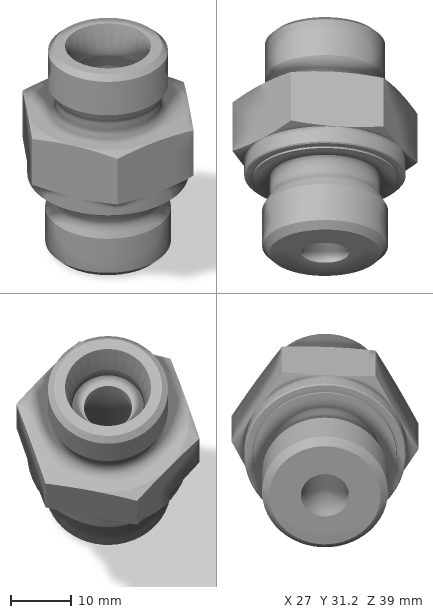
import cadquery as cq
import math

STUD_LENGTH = 14.0
COLLAR_HEIGHT = 3.0
HEX_HEIGHT = 10.0
SPIGOT_LENGTH = 12.0

COLLAR_BOTTOM = STUD_LENGTH
HEX_BOTTOM = COLLAR_BOTTOM + COLLAR_HEIGHT
HEX_TOP = HEX_BOTTOM + HEX_HEIGHT
TOTAL_HEIGHT = HEX_TOP + SPIGOT_LENGTH

HEX_ACROSS_FLATS = 27.0
HEX_SIDES = 6
HEX_CORNER_ROTATION = 90
HEX_CHAMFER_ANGLE = math.radians(15)
CHAMFER_CONE_MARGIN = 1.0
COLLAR_DIAMETER = 26.9
COLLAR_CHAMFER = 0.2

UNDERCUT_ANGLE = math.radians(30)

STUD_DIAMETER = 20.95
STUD_CHAMFER = 1.2
STUD_NECK_DIAMETER = 18.4
STUD_THREAD_TOP = 7.8
STUD_UNDERCUT_RADIUS = 1.25

SPIGOT_DIAMETER = 20.0
SPIGOT_CHAMFER_WIDTH = 1.0
SPIGOT_CHAMFER_HEIGHT = 0.9
SPIGOT_NECK_DIAMETER = 17.7
SPIGOT_THREAD_BOTTOM = TOTAL_HEIGHT - 7.4
SPIGOT_UNDERCUT_RADIUS = 0.8
SPIGOT_NECK_FILLET = 1.0

BORE_DIAMETER = 8.0
SOCKET_DIAMETER = 12.0
SOCKET_DEPTH = 7.5
CONE_MOUTH_DIAMETER = 14.3
CONE_HALF_ANGLE = math.radians(12)

SEAL_INNER_DIAMETER = 18.5
SEAL_OUTER_DIAMETER = 23.9
SEAL_GROOVE_DIAMETER = 24.0
SEAL_GROOVE_DEPTH = 1.5
SEAL_PROTRUSION = 0.3


def cylinder(diameter, bottom, top):
    """Solid cylinder on the Z axis between two heights."""
    return cq.Workplane("XY").workplane(offset=bottom).circle(diameter / 2).extrude(top - bottom)


def make_hexagon():
    """Hexagon with corners on the Y axis, its corners cut by a cone at both ends."""
    across_corners = HEX_ACROSS_FLATS / math.cos(math.pi / HEX_SIDES)
    prism = (
        cq.Workplane("XY")
        .workplane(offset=HEX_BOTTOM)
        .polygon(HEX_SIDES, across_corners)
        .extrude(HEX_HEIGHT)
        .rotate((0, 0, 0), (0, 0, 1), HEX_CORNER_ROTATION)
    )
    face_radius = COLLAR_DIAMETER / 2
    outer_radius = across_corners / 2 + CHAMFER_CONE_MARGIN
    chamfer_height = (outer_radius - face_radius) * math.tan(HEX_CHAMFER_ANGLE)
    envelope = (
        cq.Workplane("XZ")
        .moveTo(0, HEX_BOTTOM)
        .lineTo(face_radius, HEX_BOTTOM)
        .lineTo(outer_radius, HEX_BOTTOM + chamfer_height)
        .lineTo(outer_radius, HEX_TOP - chamfer_height)
        .lineTo(face_radius, HEX_TOP)
        .lineTo(0, HEX_TOP)
        .close()
        .revolve(360, (0, 0), (0, 1))
    )
    return prism.intersect(envelope)


def make_collar():
    """Round collar below the hexagon, with the sealing ring groove in its lower face."""
    collar = cylinder(COLLAR_DIAMETER, COLLAR_BOTTOM, HEX_BOTTOM)
    collar = collar.faces("<Z").edges().chamfer(COLLAR_CHAMFER)
    groove = cylinder(SEAL_GROOVE_DIAMETER, COLLAR_BOTTOM, COLLAR_BOTTOM + SEAL_GROOVE_DEPTH)
    return collar.cut(groove)


def undercut_points(thread_radius, neck_radius, blend_radius):
    """Points of the undercut corner as (radius, height away from the thread end).

    Gives the start, middle and end of the arc that blends the undercut cone into the neck.
    """
    cone_end_radius = neck_radius + blend_radius * (1 - math.cos(UNDERCUT_ANGLE))
    cone_height = (thread_radius - cone_end_radius) / math.tan(UNDERCUT_ANGLE)
    arc_height = cone_height + blend_radius * math.sin(UNDERCUT_ANGLE)
    half_angle = UNDERCUT_ANGLE / 2
    middle_radius = neck_radius + blend_radius * (1 - math.cos(half_angle))
    middle_height = arc_height - blend_radius * math.sin(half_angle)
    return (cone_end_radius, cone_height), (middle_radius, middle_height), (neck_radius, arc_height)


def make_stud():
    """Lower thread body, undercut cone, rounded corner and neck up to the hexagon."""
    thread_radius = STUD_DIAMETER / 2
    neck_radius = STUD_NECK_DIAMETER / 2
    arc_start, arc_middle, arc_end = [
        (radius, STUD_THREAD_TOP + height)
        for radius, height in undercut_points(thread_radius, neck_radius, STUD_UNDERCUT_RADIUS)
    ]
    return (
        cq.Workplane("XZ")
        .lineTo(thread_radius - STUD_CHAMFER, 0)
        .lineTo(thread_radius, STUD_CHAMFER)
        .lineTo(thread_radius, STUD_THREAD_TOP)
        .lineTo(*arc_start)
        .threePointArc(arc_middle, arc_end)
        .lineTo(neck_radius, HEX_BOTTOM)
        .lineTo(0, HEX_BOTTOM)
        .close()
        .revolve(360, (0, 0), (0, 1))
    )


def make_spigot():
    """Neck flaring into the hexagon, rounded corner, undercut cone and upper thread body."""
    thread_radius = SPIGOT_DIAMETER / 2
    neck_radius = SPIGOT_NECK_DIAMETER / 2
    fillet = SPIGOT_NECK_FILLET
    diagonal_offset = fillet * (1 - math.sqrt(0.5))
    arc_start, arc_middle, arc_end = [
        (radius, SPIGOT_THREAD_BOTTOM - height)
        for radius, height in undercut_points(thread_radius, neck_radius, SPIGOT_UNDERCUT_RADIUS)
    ]
    return (
        cq.Workplane("XZ")
        .moveTo(0, HEX_TOP)
        .lineTo(neck_radius + fillet, HEX_TOP)
        .threePointArc(
            (neck_radius + diagonal_offset, HEX_TOP + diagonal_offset),
            (neck_radius, HEX_TOP + fillet),
        )
        .lineTo(*arc_end)
        .threePointArc(arc_middle, arc_start)
        .lineTo(thread_radius, SPIGOT_THREAD_BOTTOM)
        .lineTo(thread_radius, TOTAL_HEIGHT - SPIGOT_CHAMFER_HEIGHT)
        .lineTo(thread_radius - SPIGOT_CHAMFER_WIDTH, TOTAL_HEIGHT)
        .lineTo(0, TOTAL_HEIGHT)
        .close()
        .revolve(360, (0, 0), (0, 1))
    )


def make_bore():
    """Cutter for the through hole, the tube socket and the sealing cone."""
    bore_radius = BORE_DIAMETER / 2
    socket_radius = SOCKET_DIAMETER / 2
    mouth_radius = CONE_MOUTH_DIAMETER / 2
    socket_floor = TOTAL_HEIGHT - SOCKET_DEPTH
    cone_bottom = TOTAL_HEIGHT - (mouth_radius - socket_radius) / math.tan(CONE_HALF_ANGLE)
    return (
        cq.Workplane("XZ")
        .lineTo(bore_radius, 0)
        .lineTo(bore_radius, socket_floor)
        .lineTo(socket_radius, socket_floor)
        .lineTo(socket_radius, cone_bottom)
        .lineTo(mouth_radius, TOTAL_HEIGHT)
        .lineTo(0, TOTAL_HEIGHT)
        .close()
        .revolve(360, (0, 0), (0, 1))
    )


def make_fitting():
    """Housing body: hexagon, collar, stud and spigot joined and bored through."""
    outside = make_hexagon().union(make_collar()).union(make_stud()).union(make_spigot())
    return outside.cut(make_bore())


def make_seal():
    """Plain sealing ring resting on the groove floor and standing proud of the collar."""
    bottom = COLLAR_BOTTOM - SEAL_PROTRUSION
    top = COLLAR_BOTTOM + SEAL_GROOVE_DEPTH
    ring = cylinder(SEAL_OUTER_DIAMETER, bottom, top)
    return ring.cut(cylinder(SEAL_INNER_DIAMETER, bottom, top))


fitting = make_fitting()
seal = make_seal()

result = cq.Compound.makeCompound([fitting.val(), seal.val()])